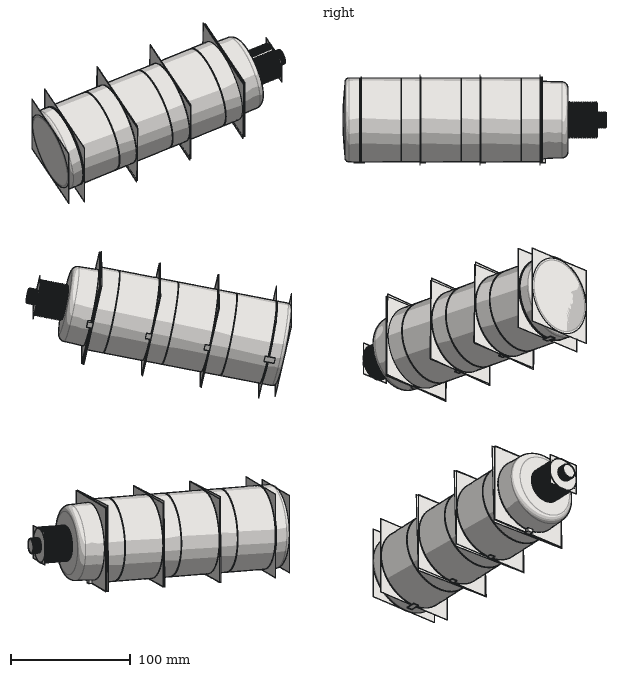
import cadquery as cq
import math

overall_length = 220.03
stud_length = 24.5
connector_length = 7.73
dome_apex = stud_length + connector_length - overall_length

body_radius = 35.1
module_pitch = 50.0
module_count = 3
module_top = -23.4
ring_offset = 15.7
ring_width = 0.6
ring_depth = 0.3
modules_front = module_top - module_count * module_pitch

base_end_radius = 31.7
base_rim_radius = 32.6
base_fillet = 5.4

dome_radius = 31.8
dome_rise = 1.9
cap_corner_length = 3.2

stud_radius = 15.2
stud_thread_depth = 0.9
stud_pitch = 1.5
stud_slot_width = 2.7
stud_slot_depth = 1.35
stud_slot_end_margin = 1.2
connector_radius = 6.6
connector_thread_depth = 0.5
connector_pitch = 1.0

sheet_thickness = 0.2
module_sheet_side = 73.15
module_sheet_twist = 1.7
joint_sheet_side = 71.5
cap_sheet_side = 66.0
stud_sheet_side = 28.0
joint_sheet_gap = 0.8
base_sheet_gap = 1.8
cap_joint_gap = 0.9

lug_width = 5.0
lug_reach = 35.75
lug_root = 31.0
module_lug_length = 4.6
cap_lug_length = 8.6
cap_lug_start = dome_apex + 9.3


def revolve_about_y(profile):
    return profile.close().revolve(360, (0, 0, 0), (0, 1, 0))


def make_body():
    rim_y = dome_apex + dome_rise
    sphere_radius = (dome_radius**2 + dome_rise**2) / (2 * dome_rise)
    half_angle = math.asin(dome_radius / sphere_radius) / 2
    dome_mid = (
        sphere_radius * math.sin(half_angle),
        dome_apex + sphere_radius * (1 - math.cos(half_angle)),
    )
    corner_width = body_radius - dome_radius
    corner_mid = (
        dome_radius + corner_width * math.sin(math.pi / 4),
        rim_y + cap_corner_length * (1 - math.cos(math.pi / 4)),
    )
    profile = (
        cq.Workplane("XY")
        .moveTo(0, dome_apex)
        .threePointArc(dome_mid, (dome_radius, rim_y))
        .threePointArc(corner_mid, (body_radius, rim_y + cap_corner_length))
        .lineTo(body_radius, module_top)
        .lineTo(0, module_top)
    )
    return revolve_about_y(profile)


def make_base():
    profile = (
        cq.Workplane("XY")
        .moveTo(0, module_top)
        .lineTo(base_rim_radius, module_top)
        .lineTo(base_end_radius, 0)
        .lineTo(0, 0)
    )
    return revolve_about_y(profile).faces(">Y").edges().fillet(base_fillet)


def make_thread(start_y, length, radius, depth, pitch):
    root_radius = radius - depth
    ridge_count = int(length / pitch)
    first_ridge = start_y + (length - ridge_count * pitch) / 2
    profile = cq.Workplane("XY").moveTo(0, start_y).lineTo(root_radius, start_y)
    for index in range(ridge_count):
        ridge_y = first_ridge + index * pitch
        profile = profile.lineTo(root_radius, ridge_y + pitch / 4)
        profile = profile.lineTo(radius, ridge_y + pitch / 2)
        profile = profile.lineTo(root_radius, ridge_y + 3 * pitch / 4)
    profile = profile.lineTo(root_radius, start_y + length).lineTo(0, start_y + length)
    return revolve_about_y(profile)


def make_stud_slot():
    slot_length = stud_length - 2 * stud_slot_end_margin
    slot = cq.Workplane("XY").box(
        stud_slot_width, slot_length, stud_slot_depth, centered=(True, False, False)
    )
    return slot.translate((0, stud_slot_end_margin, stud_radius - stud_slot_depth))


def make_ring_groove(center_y):
    inner_radius = body_radius - ring_depth
    ring = cq.Workplane("XZ").circle(body_radius + ring_depth).circle(inner_radius).extrude(ring_width)
    return ring.translate((0, center_y + ring_width / 2, 0))


def make_sheet(side, center_y, twist=0):
    sheet = cq.Workplane("XY").box(side, sheet_thickness, side)
    return sheet.rotate((0, 0, 0), (0, 1, 0), twist).translate((0, center_y, 0))


def make_lug(start_y, length):
    lug = cq.Workplane("XY").box(
        lug_width, length, lug_reach - lug_root, centered=(True, False, False)
    )
    return lug.translate((0, start_y, -lug_reach))


stud = make_thread(0, stud_length, stud_radius, stud_thread_depth, stud_pitch).cut(make_stud_slot())
connector = make_thread(
    stud_length, connector_length, connector_radius, connector_thread_depth, connector_pitch
)
result = make_body().union(make_base()).union(stud).union(connector)

module_tops = [module_top - index * module_pitch for index in range(module_count)]
for top_y in module_tops:
    result = result.cut(make_ring_groove(top_y - ring_offset))
    result = result.union(make_sheet(module_sheet_side, top_y, module_sheet_twist))
    result = result.union(make_sheet(joint_sheet_side, top_y + joint_sheet_gap))
    result = result.union(make_lug(top_y, module_lug_length))

result = result.union(make_sheet(joint_sheet_side, module_top + base_sheet_gap))
result = result.cut(make_ring_groove(modules_front))
result = result.union(make_sheet(joint_sheet_side, modules_front + cap_joint_gap))
result = result.union(make_sheet(cap_sheet_side, dome_apex + dome_rise))
result = result.union(make_sheet(stud_sheet_side, stud_length))
result = result.union(make_lug(cap_lug_start, cap_lug_length))